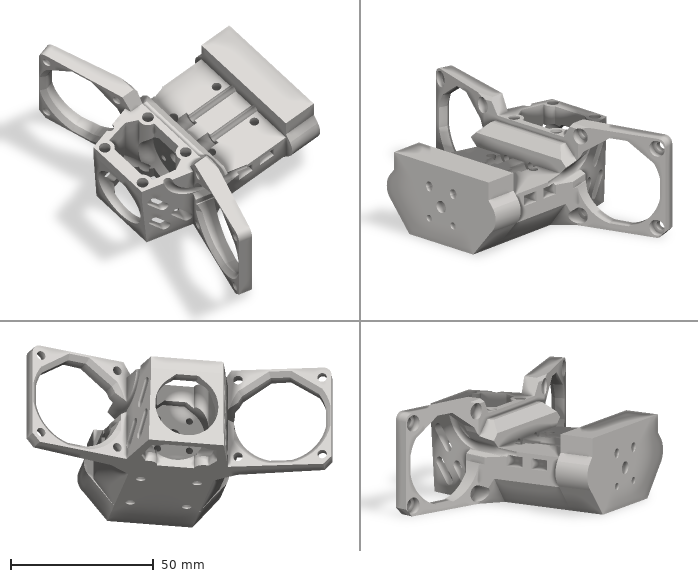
import cadquery as cq
import math


length = 71.5
box_back = 25.3
bulkhead_back = 31.6
clamp_front = 58.6

body_half = 22.4
body_height = 20.4
body_bottom_half = 15.1
slope_height = 9.7

wire_diameter = 3.2

ridge_height = 29.3
ridge_chamfer = 3.7
ridge_flat_half = 16.5

clamp_height = 28.8
lobe_top = 22.1
lobe_half = 25.8
lobe_middle = 15.0
lobe_start = (23.5, 10.2)
lobe_end = (24.6, 19.5)

box_height = 31.3
box_front_half = 12.9
side_angle = math.radians(15)
front_lean = 1.9
lean_height = 26.8
screw_pitch = 20.0
box_screw_y = 2.8
boss_radius = 3.5
box_screw_diameter = 4.1
box_screw_depth = 6.0

motor_z = 13.9
motor_radius = 11.2
motor_recess_y = 26.4
motor_flat_half = 3.9
shaft_diameter = 4.5
motor_screw_diameter = 2.5
motor_screw_pitch = 11.3

fan_half_span = 54.5
fan_height = 37.0
fan_x = 35.7
fan_z = fan_height / 2
fan_front_y = 9.9
fan_edge_depth = 5.1
fan_inner_x = 15.7
fan_top_inner_x = 19.2
fan_corner = 2.8
fan_back_chamfer = 1.2
fan_radius = 18.1
fan_chamfer = 1.7
fan_screw_pitch = 29.5
fan_screw_diameter = 3.3
fan_head_diameter = 5.9
fan_head_floor = 2.7

sine = math.sin(side_angle)
cosine = math.cos(side_angle)
slope = math.tan(side_angle)
fan_front_x = fan_half_span - fan_edge_depth * sine
fan_back_y = fan_front_y + fan_edge_depth * cosine


def block(x0, x1, y0, y1, z0, z1):
    return cq.Workplane("XY").box(x1 - x0, y1 - y0, z1 - z0, centered=False).translate((x0, y0, z0))


def both_sides(shape):
    return shape.union(shape.mirror("YZ"))


def along_y(outline, y0, y1):
    """Extrude an outline made on the XZ plane from y0 to y1."""
    return outline.extrude(y0 - y1).translate((0, y0, 0))


def box_half(y):
    """Half width of the tapered front box at depth y."""
    return box_front_half + y * slope


def pyramid(a, b, c, d):
    """Solid with the four given corners."""
    faces = []
    for corners in ((a, b, c), (a, b, d), (a, c, d), (b, c, d)):
        wire = cq.Wire.makePolygon([cq.Vector(*p) for p in corners], close=True)
        faces.append(cq.Face.makeFromWires(wire))
    return cq.Workplane(cq.Solid.makeSolid(cq.Shell.makeShell(faces)))


def make_body():
    section = cq.Workplane("XZ").polyline([
        (-body_bottom_half, 0),
        (body_bottom_half, 0),
        (body_half, slope_height),
        (body_half, body_height),
        (-body_half, body_height),
        (-body_half, slope_height),
    ]).close()
    return along_y(section, bulkhead_back, length)


def make_rear_block():
    section = (
        cq.Workplane("XZ")
        .moveTo(0, 0)
        .lineTo(body_bottom_half, 0)
        .lineTo(*lobe_start)
        .threePointArc((lobe_half, lobe_middle), lobe_end)
        .lineTo(body_half, lobe_top)
        .lineTo(body_half, clamp_height)
        .lineTo(0, clamp_height)
        .close()
    )
    return both_sides(along_y(section, clamp_front, length))


def make_bulkhead():
    shoulder = ridge_height - (body_half - ridge_flat_half)
    front_outline = cq.Workplane("XZ").polyline([
        (-body_half, 0),
        (body_half, 0),
        (body_half, shoulder),
        (ridge_flat_half, ridge_height),
        (-ridge_flat_half, ridge_height),
        (-body_half, shoulder),
    ]).close()
    side_outline = cq.Workplane("YZ").polyline([
        (box_back, 0),
        (bulkhead_back, 0),
        (bulkhead_back, ridge_height - ridge_chamfer),
        (bulkhead_back - ridge_chamfer, ridge_height),
        (box_back, ridge_height),
    ]).close().extrude(body_half, both=True)
    bulkhead = along_y(front_outline, box_back, bulkhead_back).intersect(side_outline)

    corner_cut = pyramid(
        (-body_half, bulkhead_back, 0),
        (-body_half, bulkhead_back, slope_height),
        (-body_bottom_half, bulkhead_back, 0),
        (-body_half, box_back, 0),
    )
    return bulkhead.cut(corner_cut).cut(corner_cut.mirror("YZ"))


def make_box():
    back_half = box_half(box_back)
    box = cq.Workplane("XY").polyline([
        (-box_front_half, 0),
        (box_front_half, 0),
        (back_half, box_back),
        (-back_half, box_back),
    ]).close().extrude(box_height)
    lean = cq.Workplane("YZ").polyline([
        (0, lean_height),
        (front_lean, 0),
        (0, 0),
    ]).close().extrude(back_half, both=True)
    return box.cut(lean)


def make_box_cavity():
    front_y = 4.9
    back_y = 22.7
    end_half = 11.2
    widest_half = 13.4
    widest_y = 15.2
    narrowing_y = 19.6
    half_outline = [
        (end_half, front_y),
        (widest_half, widest_y),
        (end_half, narrowing_y),
        (end_half, back_y),
    ]
    outline = half_outline + [(-x, y) for x, y in reversed(half_outline)]
    cavity = cq.Workplane("XY").polyline(outline).close().extrude(box_height)
    bosses = cq.Workplane("XY").pushPoints(box_screw_points()).circle(boss_radius).extrude(box_height)
    return cavity.cut(bosses)


def box_screw_points():
    half = screw_pitch / 2
    return [(x, box_screw_y + y) for x in (-half, half) for y in (0, screw_pitch)]


def make_box_screws():
    return (
        cq.Workplane("XY").workplane(offset=box_height)
        .pushPoints(box_screw_points()).circle(box_screw_diameter / 2).extrude(-box_screw_depth)
    )


def make_motor_cuts():
    circle = cq.Workplane("XZ").center(0, motor_z).circle(motor_radius)
    shoulder = motor_radius / math.sqrt(2)
    peak = cq.Workplane("XZ").polyline([
        (-shoulder, motor_z + shoulder),
        (-motor_flat_half, motor_z + motor_radius),
        (motor_flat_half, motor_z + motor_radius),
        (shoulder, motor_z + shoulder),
    ]).close()
    cuts = along_y(circle, 0, motor_recess_y).union(along_y(peak, 0, motor_recess_y))
    shaft = cq.Workplane("XZ").center(0, motor_z).circle(shaft_diameter / 2)
    screws = (
        cq.Workplane("XZ").center(0, motor_z)
        .rect(motor_screw_pitch, motor_screw_pitch, forConstruction=True)
        .vertices().circle(motor_screw_diameter / 2)
    )
    return cuts.union(along_y(shaft, 0, length)).union(along_y(screws, 0, length))


def make_side_slots():
    """Three slanted slots through the left wall of the box, square to that wall."""
    slot_centres = [(6.1, 20.0), (6.8, 8.2), (15.1, 8.2)]
    slot_length = 11.1
    slot_width = 3.5
    slot_angle = 51
    reach = 10.9
    wall = cq.Plane((-box_front_half, 0, 0), xDir=(sine, -cosine, 0), normal=(-cosine, -sine, 0))
    return (
        cq.Workplane(wall)
        .pushPoints([(-y / cosine, z) for y, z in slot_centres])
        .slot2D(slot_length, slot_width, slot_angle)
        .extrude(-reach)
    )


def make_wire_groove():
    """Round groove along the left side: straight from the body, then curving up the box wall.

    The straight stretch follows the plane of the box wall into the body, and flares outward from
    there with a 45 degree roof and a 30 degree floor.
    """
    groove_radius = wire_diameter / 2
    groove_z = 19.7
    bend_radius = 13.6
    bend_y = 22.9
    end_y = 40.3
    flare_front_y = 19.1
    flare_reach = 6.5
    floor_drop = flare_reach * math.tan(math.radians(30))
    wall = cq.Plane((-box_front_half, 0, 0), xDir=(-sine, cosine, 0), normal=(-cosine, -sine, 0))
    bend_u = bend_y / cosine
    diagonal = bend_radius / math.sqrt(2)
    path = (
        cq.Workplane(wall)
        .moveTo(end_y / cosine, -groove_z)
        .lineTo(bend_u, -groove_z)
        .threePointArc(
            (bend_u - diagonal, -groove_z - bend_radius + diagonal),
            (bend_u - bend_radius, -groove_z - bend_radius),
        )
    )
    start = cq.Plane(
        (-box_half(end_y), end_y, groove_z), xDir=(-cosine, -sine, 0), normal=(sine, -cosine, 0)
    )
    groove = cq.Workplane(start).circle(groove_radius).sweep(path)
    tangent = groove_radius / math.sqrt(2)
    flare = (
        cq.Workplane(start)
        .polyline([
            (0, groove_radius),
            (-tangent, -tangent),
            (flare_reach, -2 * tangent - flare_reach),
            (flare_reach, groove_radius + floor_drop),
        ])
        .close()
        .extrude((end_y - flare_front_y) / cosine)
    )
    return groove.union(flare)


def fan_front_plane():
    """Front plane of the left fan, centred on its opening, with the fan axis pointing forward."""
    centre = (-fan_x, fan_front_y + (fan_front_x - fan_x) * slope, fan_z)
    return cq.Plane(centre, xDir=(cosine, sine, 0), normal=(sine, -cosine, 0))


def make_fan_frame():
    """Left fan frame without its openings."""
    inner_front_y = fan_front_y + (fan_front_x - fan_inner_x) * slope
    plan = cq.Workplane("XY").polyline([
        (-fan_front_x, fan_front_y),
        (-fan_inner_x, inner_front_y),
        (-fan_inner_x, box_back),
        (-body_half, box_back),
        (-fan_half_span, fan_back_y),
    ]).close().extrude(fan_height)
    outline = (
        cq.Workplane("XZ")
        .moveTo(-fan_half_span, 0)
        .lineTo(-fan_inner_x, 0)
        .lineTo(-fan_inner_x, box_height)
        .lineTo(-fan_top_inner_x, fan_height)
        .lineTo(-fan_half_span, fan_height)
        .close()
    )
    frame = plan.intersect(along_y(outline, 0, box_back))
    back_edge = cq.Workplane("YZ").polyline([
        (box_back - fan_back_chamfer, fan_height),
        (box_back, fan_height - fan_back_chamfer),
        (box_back, fan_height),
    ]).close().extrude(-fan_half_span)
    outer = -(fan_front_x - fan_x) / cosine
    inner = outer + fan_corner
    cut_depth = 8.7
    corners = (
        cq.Workplane(fan_front_plane())
        .moveTo(inner, fan_z)
        .radiusArc((outer, fan_z - fan_corner), -fan_corner)
        .lineTo(outer - fan_corner, fan_z - fan_corner)
        .lineTo(outer - fan_corner, fan_z)
        .close()
        .moveTo(inner, -fan_z)
        .lineTo(outer - fan_corner, -fan_z)
        .lineTo(outer - fan_corner, fan_corner - fan_z)
        .lineTo(outer, fan_corner - fan_z)
        .close()
        .extrude(cut_depth, both=True)
    )
    return frame.cut(back_edge).cut(corners)


def make_fan_opening():
    """Air opening of the left fan: a bevelled mouth, a bore and a port into the bulkhead."""
    reach = 17.4
    flat = 17.6
    inner_flat = 16.2
    inner_flat_top = -1.9
    shelf = -4.1
    wide = 18.5
    front = fan_front_plane()
    upper_facets = [(wide, 8.0), (3.9, flat), (-3.9, flat), (-flat, 8.5)]
    facets = [
        (-flat, -flat),
        (inner_flat, -flat),
        (inner_flat, inner_flat_top),
        (wide, 2.1),
    ] + upper_facets
    bore_facets = [
        (-flat, -flat),
        (inner_flat + fan_chamfer, -flat),
    ] + upper_facets
    mouth = (
        cq.Workplane(front).circle(fan_radius).extrude(-fan_chamfer, taper=45)
        .intersect(cq.Workplane(front).polyline(facets).close().extrude(-fan_chamfer, taper=45))
    )
    bore = (
        cq.Workplane(front).circle(fan_radius - fan_chamfer).extrude(-reach)
        .intersect(
            cq.Workplane(front).polyline(bore_facets).close().offset2D(-fan_chamfer).extrude(-reach)
        )
    )
    port = (
        cq.Workplane(front)
        .polyline([
            (0, shelf),
            (inner_flat, shelf),
            (inner_flat, inner_flat_top),
            (0, inner_flat_top),
        ])
        .close()
        .extrude(-reach)
    )
    return mouth.union(bore).union(port)


def make_fan_screws():
    """Screw holes of the left fan, with head clearance open to the back of the frame."""
    reach = 17.4
    front = fan_front_plane()
    holes = (
        cq.Workplane(front)
        .rect(fan_screw_pitch, fan_screw_pitch, forConstruction=True)
        .vertices().circle(fan_screw_diameter / 2).extrude(-reach)
    )
    heads = (
        cq.Workplane(front).workplane(offset=-fan_head_floor)
        .rect(fan_screw_pitch, fan_screw_pitch, forConstruction=True)
        .vertices().circle(fan_head_diameter / 2).extrude(-reach)
    )
    return holes.union(heads)


def make_body_cuts():
    """Mounting holes, the two wire channels with wider plug seats, and the side windows."""
    mount_hole_diameter = 3.4
    mount_front_y = 34.7
    mount_y = (mount_front_y, mount_front_y + screw_pitch)
    wire_x = 5.7
    plug_diameter = 5.8
    plug_back = 39.4
    window_y = ((36.7, 43.1), (46.6, 53.0))
    window_z = (14.8, 18.7)
    window_depth = 5.4
    cuts = (
        cq.Workplane("XY")
        .pushPoints([(x, y) for x in (-screw_pitch / 2, screw_pitch / 2) for y in mount_y])
        .circle(mount_hole_diameter / 2).extrude(body_height)
    )
    channel_points = [(-wire_x, body_height), (wire_x, body_height)]
    wires = cq.Workplane("XZ").pushPoints(channel_points).circle(wire_diameter / 2)
    plugs = cq.Workplane("XZ").pushPoints(channel_points).circle(plug_diameter / 2)
    cuts = cuts.union(along_y(wires, bulkhead_back, length))
    cuts = cuts.union(along_y(plugs, bulkhead_back, plug_back))
    for y0, y1 in window_y:
        window = block(-body_half, -body_half + window_depth, y0, y1, *window_z)
        cuts = cuts.union(both_sides(window))
    return cuts


result = make_body().union(make_rear_block()).union(make_bulkhead()).union(make_box())
result = result.union(both_sides(make_fan_frame()))
result = result.cut(make_box_cavity()).cut(make_motor_cuts()).cut(make_body_cuts())
result = result.cut(make_box_screws())
for side_cut in (make_side_slots(), make_wire_groove(), make_fan_opening(), make_fan_screws()):
    result = result.cut(side_cut).cut(side_cut.mirror("YZ"))